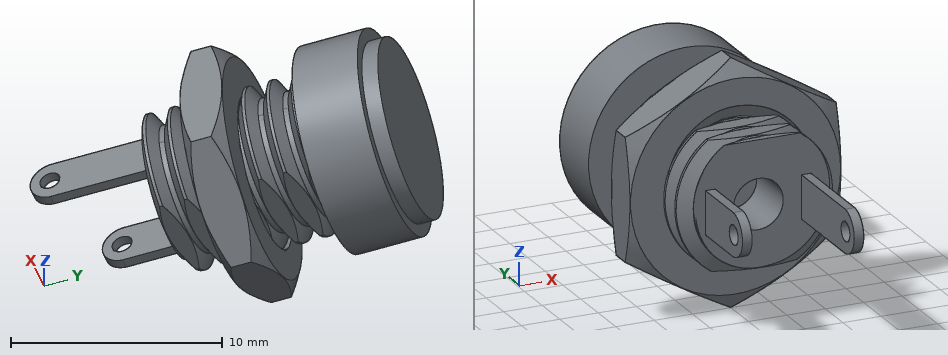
import cadquery as cq
import math


RIM_DIA = 9.0
RIM_LENGTH = 0.8
FLANGE_DIA = 10.25
FLANGE_LENGTH = 3.3

SHANK_LENGTH = 8.1
SHANK_FLATS = 6.53
REAR_HOLE_DIA = 2.6
REAR_HOLE_DEPTH = 3.0

PITCH = 1.25
ROOT_RADIUS = 3.23
CREST_RADIUS = 3.93
CREST_WIDTH = 0.16
RIDGE_BASE_WIDTH = 0.98
CREST_DEPTH = 0.39
RIDGE_EMBED = 0.08

TERMINAL_THICKNESS = 0.5
TERMINAL_WIDTH = 2.25
TERMINAL_OFFSET = 2.5
TERMINAL_END_DEPTH = 1.03
LEFT_TERMINAL_LENGTH = 4.2
RIGHT_TERMINAL_LENGTH = 6.0
TERMINAL_HOLE_DIA = 1.0
TERMINAL_HOLE_TO_TIP = 1.0

NUT_ACROSS_FLATS = 11.0
NUT_THICKNESS = 2.14
NUT_DISTANCE = 3.39
NUT_FACE_DIA = 10.95
NUT_CORNER_CHAMFER = 0.56
THREAD_CLEARANCE = 0.13
NUT_THREAD_LEAD = 0.07


def plane_behind_shoulder(distance):
    """Workplane across the axis, facing -Y, with local x along X and local y along Z."""
    return cq.Workplane("XZ", origin=(0, -distance, 0))


def threaded_rod(start, end, crest_depth, clearance=0.0):
    """Round threaded rod between two distances behind the shoulder, grown by a clearance.

    The crest crosses the +X side at crest_depth behind the shoulder, and every pitch from there.
    """
    root = ROOT_RADIUS + clearance
    crest = CREST_RADIUS + clearance
    base_half = RIDGE_BASE_WIDTH / 2 + clearance / 2
    crest_half = CREST_WIDTH / 2 + clearance / 2
    inner = root - RIDGE_EMBED
    flank_slope = (base_half - crest_half) / (crest - root)
    inner_half = base_half + flank_slope * RIDGE_EMBED

    turns_ahead = 2
    turns_beyond = 1
    first = crest_depth - turns_ahead * PITCH
    turns = math.ceil((end - first) / PITCH) + turns_beyond

    helix = cq.Workplane(cq.Wire.makeHelix(PITCH, turns * PITCH, root))
    ridge = (
        cq.Workplane("XZ")
        .polyline([
            (inner, -inner_half),
            (crest, -crest_half),
            (crest, crest_half),
            (inner, inner_half),
        ])
        .close()
        .sweep(helix, isFrenet=True)
        .rotate((0, 0, 0), (1, 0, 0), 90)
        .translate((0, -first, 0))
    )

    length = end - start
    blank = plane_behind_shoulder(start).circle(2 * crest).extrude(length)
    core = plane_behind_shoulder(start).circle(root).extrude(length)
    return core.union(ridge.intersect(blank))


def terminal(x_center, length):
    """Flat solder terminal with a round end and an eyelet, standing on the shank's rear face."""
    half = TERMINAL_WIDTH / 2
    rear = -SHANK_LENGTH
    tip = rear - length
    hole_y = tip + TERMINAL_HOLE_TO_TIP
    return (
        cq.Workplane("YZ", origin=(x_center - TERMINAL_THICKNESS / 2, 0, 0))
        .moveTo(rear, -half)
        .lineTo(tip + TERMINAL_END_DEPTH, -half)
        .threePointArc((tip, 0), (tip + TERMINAL_END_DEPTH, half))
        .lineTo(rear, half)
        .close()
        .moveTo(hole_y, 0)
        .circle(TERMINAL_HOLE_DIA / 2)
        .extrude(TERMINAL_THICKNESS)
    )


def make_jack():
    """Flanged housing with flatted threaded shank and two terminals."""
    flange = plane_behind_shoulder(-FLANGE_LENGTH).circle(FLANGE_DIA / 2).extrude(FLANGE_LENGTH)
    rim = plane_behind_shoulder(-FLANGE_LENGTH - RIM_LENGTH).circle(RIM_DIA / 2).extrude(RIM_LENGTH)
    flats = plane_behind_shoulder(0).rect(FLANGE_DIA, SHANK_FLATS).extrude(SHANK_LENGTH)
    shank = threaded_rod(0, SHANK_LENGTH, CREST_DEPTH).intersect(flats)
    rear_hole = (
        plane_behind_shoulder(SHANK_LENGTH - REAR_HOLE_DEPTH)
        .circle(REAR_HOLE_DIA / 2)
        .extrude(REAR_HOLE_DEPTH)
    )
    jack = shank.cut(rear_hole).union(flange).union(rim)
    jack = jack.union(terminal(-TERMINAL_OFFSET, LEFT_TERMINAL_LENGTH))
    return jack.union(terminal(TERMINAL_OFFSET, RIGHT_TERMINAL_LENGTH))


def make_nut():
    """Hex nut with corners at +Z and -Z, bevelled on both faces and tapped to suit the shank."""
    corner_radius = NUT_ACROSS_FLATS / math.sqrt(3)
    face_radius = NUT_FACE_DIA / 2
    front = -NUT_DISTANCE
    rear = front - NUT_THICKNESS
    hexagon = (
        plane_behind_shoulder(NUT_DISTANCE)
        .polygon(6, 2 * corner_radius)
        .extrude(NUT_THICKNESS)
        .rotate((0, 0, 0), (0, 1, 0), 30)
    )
    bevelled_disc = (
        cq.Workplane("XY")
        .polyline([
            (0, front),
            (face_radius, front),
            (corner_radius, front - NUT_CORNER_CHAMFER),
            (corner_radius, rear + NUT_CORNER_CHAMFER),
            (face_radius, rear),
            (0, rear),
        ])
        .close()
        .revolve(360, (0, 0, 0), (0, 1, 0))
    )
    thread = threaded_rod(
        NUT_DISTANCE,
        NUT_DISTANCE + NUT_THICKNESS,
        CREST_DEPTH - NUT_THREAD_LEAD,
        THREAD_CLEARANCE,
    )
    return hexagon.intersect(bevelled_disc).cut(thread)


jack = make_jack()
nut = make_nut()

result = cq.Compound.makeCompound([jack.solids().val(), nut.solids().val()])